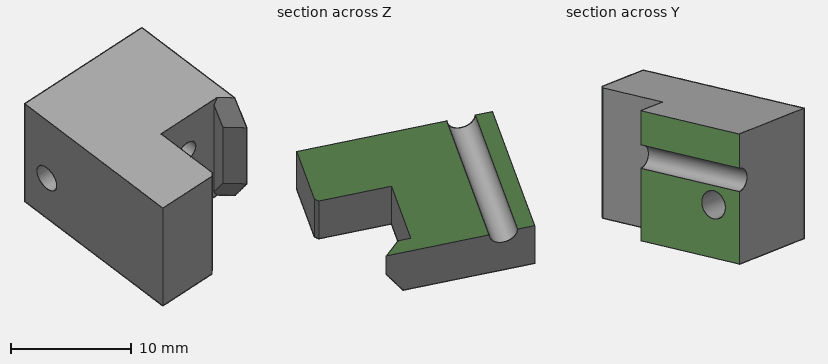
import cadquery as cq
import math

length = 16.83
width = 13.23
height = 11.35

body_length = 10.3
arm_width = 5.85
arm_chamfer = 0.3

lip_tip_x = 12.79
lip_width = 1.41
lip_bevel_run = 1.46
lip_bevel_height = 2.42

front_hole_diameter = 2.4
front_hole_x = 2.71
front_hole_z = 4.65
side_hole_diameter = 2.0
side_hole_y = 8.77
side_hole_z = 7.34


def make_body():
    """L-shaped prism with the lip and the chamfered arm corner."""
    outline = [
        (0, 0),
        (length, 0),
        (length, arm_width - arm_chamfer),
        (length - arm_chamfer, arm_width),
        (body_length, arm_width),
        (body_length, width - lip_width),
        (lip_tip_x - lip_width, width - lip_width),
        (lip_tip_x, width),
        (0, width),
    ]
    return cq.Workplane("XY").polyline(outline).close().extrude(height)


def lip_bevel(end_z, inward):
    """Wedge that slopes one end of the lip; inward is the Z direction into the part."""
    section = cq.Plane(origin=(lip_tip_x, width, 0), xDir=(1, -1, 0), normal=(-1, -1, 0))
    bevel_depth = lip_bevel_run * math.sin(math.radians(45))
    wedge = (
        cq.Workplane(section)
        .polyline([(0, end_z), (-bevel_depth, end_z), (0, end_z + inward * lip_bevel_height)])
        .close()
        .extrude(width, both=True)
    )
    lip_zone = (
        cq.Workplane("XY")
        .box(lip_tip_x - body_length, lip_width, height, centered=False)
        .translate((body_length, width - lip_width, 0))
    )
    return wedge.intersect(lip_zone)


def front_hole():
    return (
        cq.Workplane("XZ")
        .center(front_hole_x, front_hole_z)
        .circle(front_hole_diameter / 2)
        .extrude(-width)
    )


def side_hole():
    return (
        cq.Workplane("YZ")
        .center(side_hole_y, side_hole_z)
        .circle(side_hole_diameter / 2)
        .extrude(length)
    )


result = (
    make_body()
    .cut(lip_bevel(height, -1))
    .cut(lip_bevel(0, 1))
    .cut(front_hole())
    .cut(side_hole())
)